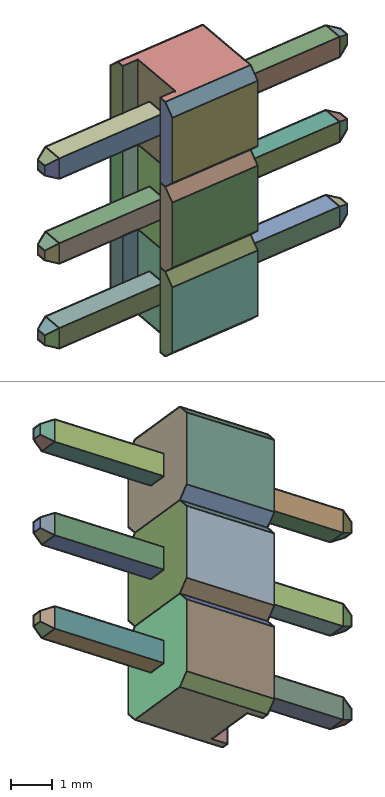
import cadquery as cq

pin_count = 3
pitch = 2.54
corner_chamfer = 0.29
block_front = -1.5
block_back = 1.0
channel_width = 1.53
channel_depth = 0.44

pin_width = 0.57
pin_height = 0.61
pin_length = 8.88
tip_length = 0.33
tip_width = 0.29
tip_height = 0.29

block_depth = block_back - block_front
pin_end = pin_length / 2
shank_end = pin_end - tip_length


def make_block():
    """Square block with chamfered edges and a channel along Z in its front."""
    block = (
        cq.Workplane("XY")
        .box(pitch, block_depth, pitch)
        .edges("|Y")
        .chamfer(corner_chamfer)
        .translate((0, (block_front + block_back) / 2, 0))
    )
    channel = cq.Workplane("XY").box(channel_width, channel_depth, pitch)
    return block.cut(channel.translate((0, block_front + channel_depth / 2, 0)))


def make_tip():
    """Tapered end of the pin that points toward -Y."""
    return (
        cq.Workplane("XZ", origin=(0, -shank_end, 0))
        .rect(pin_width, pin_height)
        .workplane(offset=tip_length)
        .rect(tip_width, tip_height)
        .loft(ruled=True)
    )


def make_pin():
    """Straight pin along Y with a tapered tip at each end."""
    shank = cq.Workplane("XY").box(pin_width, 2 * shank_end, pin_height)
    tip = make_tip()
    return shank.union(tip).union(tip.mirror("XZ"))


def make_header_unit(z):
    """One position of the header: a block and its pin in one piece."""
    return make_block().union(make_pin()).translate((0, 0, z))


header_units = []
for index in range(pin_count):
    unit_z = (index - (pin_count - 1) / 2) * pitch
    header_units.append(make_header_unit(unit_z).val())

result = cq.Compound.makeCompound(header_units)